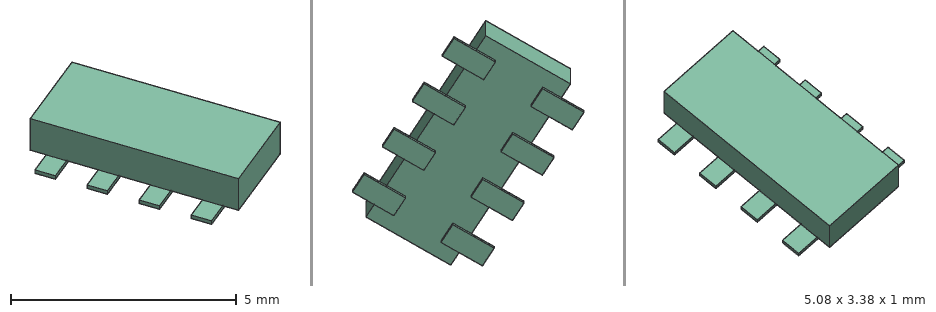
import cadquery as cq

overall_width = 3.38
overall_height = 1.0

body_length = 5.08
body_width = 2.205

leads_per_row = 4
lead_pitch = 1.27
lead_width = 0.5
lead_length = 1.075
lead_thickness = 0.1

body_height = overall_height - lead_thickness
lead_center_y = (overall_width - lead_length) / 2


def make_body():
    """Plain block resting on top of the leads."""
    return (
        cq.Workplane("XY")
        .workplane(offset=lead_thickness)
        .rect(body_length, body_width)
        .extrude(body_height)
    )


def make_lead(x, y):
    """Flat strip centred at (x, y), with its underside at Z = 0."""
    return (
        cq.Workplane("XY")
        .center(x, y)
        .rect(lead_width, lead_length)
        .extrude(lead_thickness)
    )


body = make_body()

leads = []
for side in (-1, 1):
    for index in range(leads_per_row):
        lead_x = (index - (leads_per_row - 1) / 2) * lead_pitch
        leads.append(make_lead(lead_x, side * lead_center_y).val())

result = cq.Compound.makeCompound([body.val(), *leads])